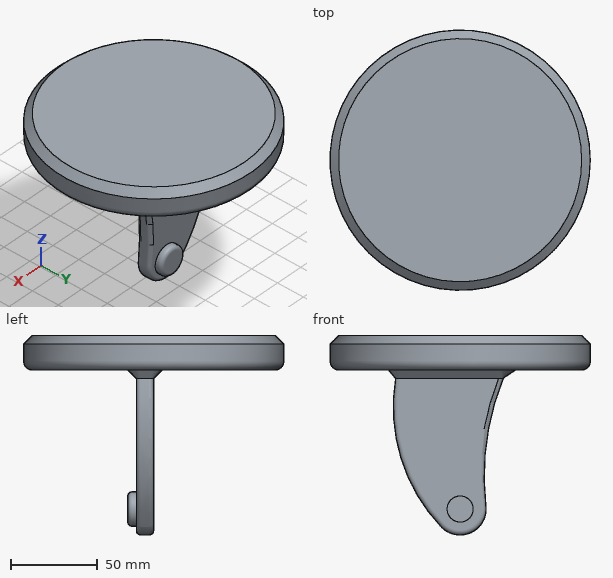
import cadquery as cq
import math

disk_diameter = 150.0
disk_edge = disk_diameter / 30
disk_height = 4 * disk_edge

overall_height = 115.0
arm_thickness = 10.0
tip_radius = 15.0
tip_z = disk_height + tip_radius - overall_height
left_arc_radius = 100.0
left_arc_center_x = 61.5
right_arc_radius = 150.0
right_arc_center_z = -61.2
arm_edge_fillet = 2.5
root_chamfer = disk_edge
select_tolerance = 0.2

boss_diameter = 20.0
boss_height = 5.0
boss_fillet = 2.5
hole_diameter = 15.0
hole_depth = arm_thickness


def make_disk():
    disk = cq.Workplane("XY").circle(disk_diameter / 2).extrude(disk_height)
    return disk.faces(">Z").edges().chamfer(disk_edge).faces("<Z").edges().fillet(disk_edge)


def point_on_arc(center, radius, z, side):
    """Point of a circle at height z; side is -1 for its left half and 1 for its right half."""
    return center[0] + side * math.sqrt(radius**2 - (z - center[1]) ** 2), z


def point_from_tip(direction):
    """Point of the tip circle in the direction of a vector from the tip center."""
    length = math.hypot(*direction)
    return tip_radius * direction[0] / length, tip_z + tip_radius * direction[1] / length


def make_arm():
    """Curved plate whose two side arcs run tangent into the round tip."""
    left_rise = math.sqrt((left_arc_radius - tip_radius) ** 2 - left_arc_center_x**2)
    left_center = (left_arc_center_x, tip_z + left_rise)
    right_rise = right_arc_center_z - tip_z
    right_center_x = math.sqrt((right_arc_radius + tip_radius) ** 2 - right_rise**2)
    right_center = (right_center_x, right_arc_center_z)

    left_tangent = point_from_tip((-left_arc_center_x, -left_rise))
    right_tangent = point_from_tip((right_center_x, right_rise))
    left_middle = point_on_arc(left_center, left_arc_radius, left_tangent[1] / 2, -1)
    right_middle = point_on_arc(right_center, right_arc_radius, right_tangent[1] / 2, -1)

    arm = (
        cq.Workplane("XZ")
        .moveTo(*point_on_arc(left_center, left_arc_radius, 0, -1))
        .threePointArc(left_middle, left_tangent)
        .threePointArc((0, tip_z - tip_radius), right_tangent)
        .threePointArc(right_middle, point_on_arc(right_center, right_arc_radius, 0, -1))
        .close()
        .extrude(-arm_thickness)
    )
    return arm.faces("<Y or >Y").edges("not >Z").fillet(arm_edge_fillet)


def add_root_chamfer(body):
    """Chamfer the inside corner where the arm meets the underside of the disk."""
    reach = disk_diameter / 2 - disk_edge - select_tolerance
    root_edges = body.edges(
        cq.selectors.BoxSelector(
            (-reach, -select_tolerance, -select_tolerance),
            (reach, arm_thickness + select_tolerance, select_tolerance),
            boundingbox=True,
        )
    )
    return root_edges.chamfer(root_chamfer)


def tip_cylinder(diameter, start_y, length):
    """Cylinder along +Y on the axis of the arm tip."""
    plane = cq.Workplane("XZ", origin=(0, start_y, tip_z))
    return plane.circle(diameter / 2).extrude(-length)


boss = tip_cylinder(boss_diameter, arm_thickness, boss_height)
boss = boss.faces(">Y").edges().fillet(boss_fillet)
hole = tip_cylinder(hole_diameter, 0, hole_depth)

body = add_root_chamfer(make_disk().union(make_arm()))
result = body.union(boss).cut(hole)